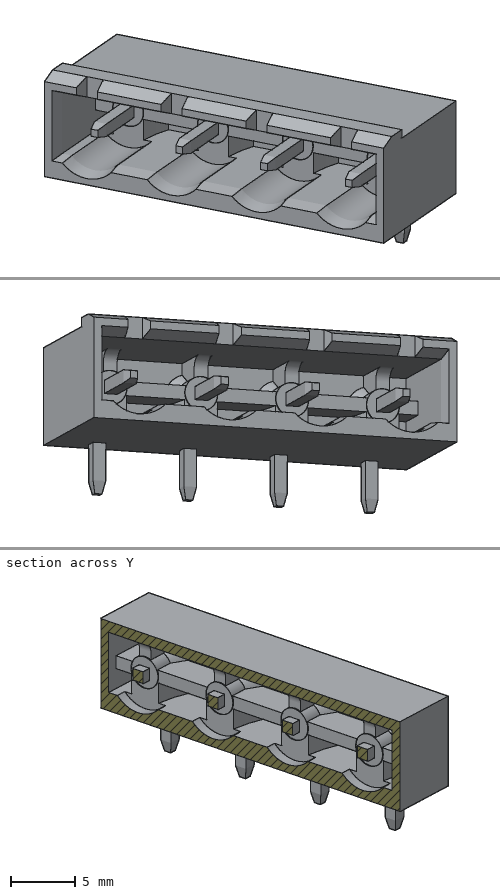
import cadquery as cq

length = 30.0
depth = 12.0
body_height = 7.77
rim_height = 8.5
rim_depth = 3.0
rim_slope_depth = 1.35
rim_slope_drop = 0.5

pole_count = 4
pitch = length / pole_count
pole_positions = [(i - (pole_count - 1) / 2) * pitch for i in range(pole_count)]

side_wall = 0.85
floor_z = 1.62
ceiling_z = 6.78
mouth_side_wall = 0.65
mouth_floor_z = 1.45
mouth_ceiling_z = 7.35
lead_in_depth = 1.35
cavity_depth = 9.75

channel_axis_z = 3.57
channel_radius = 2.82
channel_mouth_radius = 3.03

notch_width = 1.45
notch_mouth_width = 1.85
notch_depth = rim_slope_depth

pin_width = 1.05
pin_tip_width = 0.6
pin_axis_z = 3.9
pin_front_y = 1.25
pin_front_taper = 1.0
tail_axis_y = 10.0
total_height = 12.5
tail_length = total_height - rim_height
tail_taper = 1.0

boss_front_y = 6.9
boss_radius = 1.35
boss_shoulder_half_width = 1.62
boss_root_radius = 2.05
boss_shoulder_y = 8.5
collar_projection = 0.1

bar_height = 1.1
web_width = 1.15
web_fillet = 0.95


def rectangle_at(y, x_half, z_low, z_high):
    """Rectangle in the plane at the given Y, symmetric about X = 0."""
    return [(-x_half, y, z_low), (x_half, y, z_low), (x_half, y, z_high), (-x_half, y, z_high)]


def ruled_solid(first, second):
    """Solid with ruled sides between two polygons."""
    wires = [cq.Wire.makePolygon([cq.Vector(*p) for p in points], close=True) for points in (first, second)]
    return cq.Workplane(obj=cq.Solid.makeLoft(wires, True))


def box(x_size, y_start, y_end, z_start, z_end):
    """Block centred on X = 0 between the given Y and Z limits."""
    block = cq.Workplane("XY", origin=(0, y_start, z_start))
    return block.box(x_size, y_end - y_start, z_end - z_start, centered=(True, False, False))


def cone(y_start, y_end, start_radius, end_radius, axis_z):
    """Truncated cone along Y."""
    return cq.Workplane(
        obj=cq.Solid.makeCone(
            start_radius, end_radius, y_end - y_start, cq.Vector(0, y_start, axis_z), cq.Vector(0, 1, 0)
        )
    )


def cylinder(y_start, y_end, radius, axis_z):
    """Cylinder along Y."""
    return cq.Workplane("XZ", origin=(0, y_end, axis_z)).circle(radius).extrude(y_end - y_start)


def make_shell():
    profile = [
        (0, 0),
        (depth, 0),
        (depth, body_height),
        (rim_depth, body_height),
        (rim_depth, rim_height),
        (rim_slope_depth, rim_height),
        (0, rim_height - rim_slope_drop),
    ]
    return cq.Workplane("YZ").polyline(profile).close().extrude(length / 2, both=True)


def make_cavity():
    inner_half = length / 2 - side_wall
    mouth_half = length / 2 - mouth_side_wall
    room = box(2 * inner_half, 0, cavity_depth, floor_z, ceiling_z)
    lead_in = ruled_solid(
        rectangle_at(0, mouth_half, mouth_floor_z, mouth_ceiling_z),
        rectangle_at(lead_in_depth, inner_half, floor_z, ceiling_z),
    )
    return room.union(lead_in)


def make_channel():
    """Lower half of a round bore that ends at the bosses and widens at the mouth."""
    mouth = cone(0, lead_in_depth, channel_mouth_radius, channel_radius, channel_axis_z)
    bore = cylinder(0, boss_front_y, channel_radius, channel_axis_z)
    lower_half = box(2 * channel_mouth_radius, 0, boss_front_y, 0, channel_axis_z)
    return mouth.union(bore).intersect(lower_half)


def make_notch():
    plan = [
        (-notch_mouth_width / 2, 0),
        (notch_mouth_width / 2, 0),
        (notch_width / 2, notch_depth),
        (-notch_width / 2, notch_depth),
    ]
    return cq.Workplane("XY", origin=(0, 0, ceiling_z)).polyline(plan).close().extrude(rim_height - ceiling_z)


def make_boss():
    """Collar with a conical root, standing on a base whose sides flare in two steps."""
    collar = cylinder(boss_front_y - collar_projection, boss_shoulder_y, boss_radius, pin_axis_z)
    root = cone(boss_shoulder_y, cavity_depth, boss_radius, boss_root_radius, pin_axis_z)
    base_plan = [
        (-boss_radius, boss_front_y),
        (boss_radius, boss_front_y),
        (boss_shoulder_half_width, boss_shoulder_y),
        (boss_root_radius, cavity_depth),
        (-boss_root_radius, cavity_depth),
        (-boss_shoulder_half_width, boss_shoulder_y),
    ]
    base = cq.Workplane("XY", origin=(0, 0, floor_z)).polyline(base_plan).close().extrude(pin_axis_z - floor_z)
    return collar.union(root).union(base)


def make_web():
    """Upright web above a boss, blended into the ceiling by a concave round."""
    fillet_y = boss_front_y - web_fillet
    fillet_z = ceiling_z - web_fillet
    profile = (
        cq.Workplane("YZ", origin=(-web_width / 2, 0, 0))
        .moveTo(cavity_depth, ceiling_z)
        .lineTo(fillet_y, ceiling_z)
        .radiusArc((boss_front_y, fillet_z), web_fillet)
        .lineTo(boss_front_y, pin_axis_z)
        .lineTo(cavity_depth, pin_axis_z)
        .close()
    )
    return profile.extrude(web_width)


def make_bar():
    return box(
        length - 2 * side_wall,
        boss_front_y,
        cavity_depth,
        pin_axis_z - bar_height / 2,
        pin_axis_z + bar_height / 2,
    )


def make_contact():
    half = pin_width / 2
    tip_half = pin_tip_width / 2
    taper_y = pin_front_y + pin_front_taper
    blade = box(pin_width, taper_y, tail_axis_y + half, pin_axis_z - half, pin_axis_z + half)
    blade_tip = ruled_solid(
        rectangle_at(pin_front_y, tip_half, pin_axis_z - tip_half, pin_axis_z + tip_half),
        rectangle_at(taper_y, half, pin_axis_z - half, pin_axis_z + half),
    )
    taper_z = tail_taper - tail_length
    tail = box(pin_width, tail_axis_y - half, tail_axis_y + half, taper_z, pin_axis_z)
    tail_tip = (
        cq.Workplane("XY", origin=(0, tail_axis_y, -tail_length))
        .rect(pin_tip_width, pin_tip_width)
        .workplane(offset=tail_taper)
        .rect(pin_width, pin_width)
        .loft(ruled=True)
    )
    return blade.union(blade_tip).union(tail).union(tail_tip)


result = make_shell().cut(make_cavity())
for x in pole_positions:
    for cutter in (make_channel(), make_notch()):
        result = result.cut(cutter.translate((x, 0, 0)))

result = result.union(make_bar())
for x in pole_positions:
    for piece in (make_boss(), make_web(), make_contact()):
        result = result.union(piece.translate((x, 0, 0)))